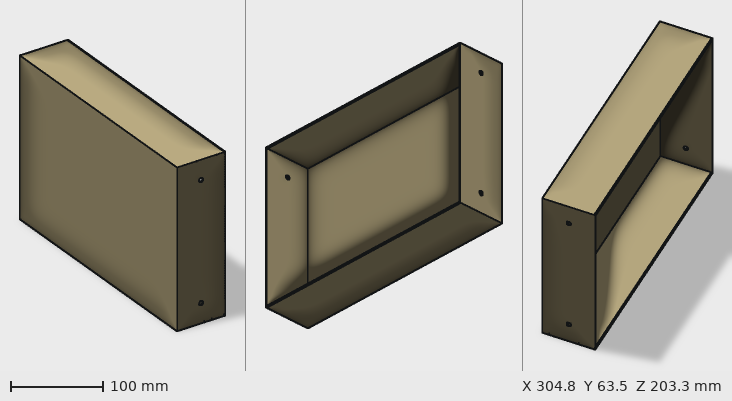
import cadquery as cq

LENGTH = 304.8
DEPTH = 63.5
HEIGHT = 203.3
WALL = 1.5

STRIP_DEPTH = 1.2
STRIP_THICKNESS = WALL
STRIP_END_INSET = 1.2
STRIP_LENGTH = LENGTH - 2 * STRIP_END_INSET

HOLE_RADIUS = 2.65
HOLE_EDGE_DISTANCE = 25.3
HOLE_Z = HEIGHT / 2 - HOLE_EDGE_DISTANCE

Z_SIDES = (1, -1)


def make_strip(side):
    """Strip that stops short of both ends, flush with the back and with the top (1) or bottom (-1)."""
    center_y = (DEPTH - STRIP_DEPTH) / 2
    center_z = side * (HEIGHT - STRIP_THICKNESS) / 2
    strip = cq.Workplane("XY").box(STRIP_LENGTH, STRIP_DEPTH, STRIP_THICKNESS)
    return strip.translate((0, center_y, center_z))


def make_side_holes():
    """Drills along X, long enough to pass through both side walls."""
    centers = [(0, side * HOLE_Z) for side in Z_SIDES]
    drills = cq.Workplane("YZ").pushPoints(centers).circle(HOLE_RADIUS)
    return drills.extrude(LENGTH / 2, both=True)


def make_housing(strips):
    """Thin-walled box, open at the back, with rebates that hold the strips."""
    housing = cq.Workplane("XY").box(LENGTH, DEPTH, HEIGHT)
    housing = housing.faces(">Y").shell(-WALL)
    housing = housing.cut(make_side_holes())
    for strip in strips:
        housing = housing.cut(strip)
    return housing


strips = [make_strip(side) for side in Z_SIDES]
housing = make_housing(strips)

result = cq.Compound.makeCompound([housing.val(), *[strip.val() for strip in strips]])